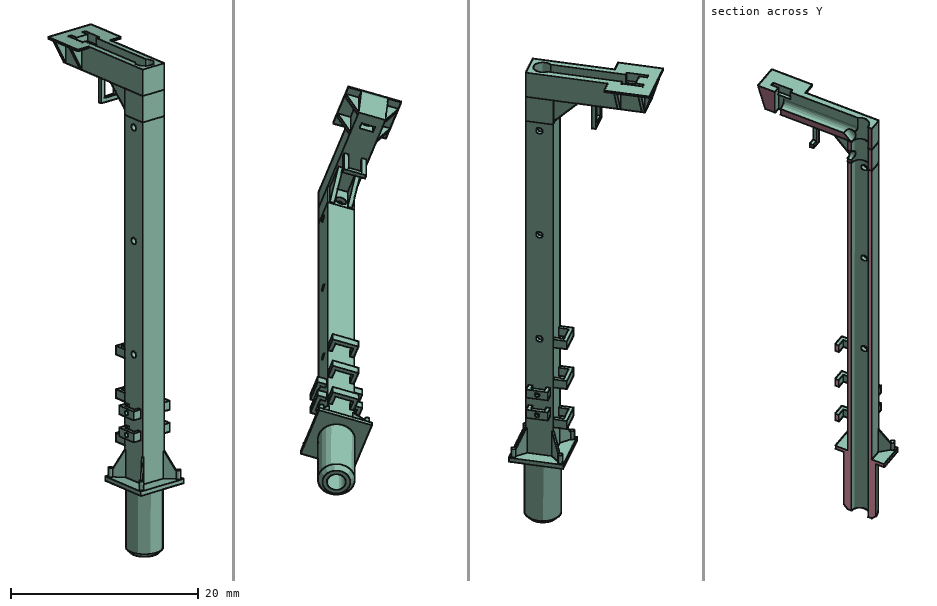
import cadquery as cq
total_height = 56.0
section = 3.0
half_section = section / 2
bore_diameter = 2.0
base_side = 6.0
arm_bottom = total_height - section
mast_top = arm_bottom - section
total_length = 15.5
reach = total_length - base_side / 2

peg_diameter = 4.0
peg_length = 8.0
peg_chamfer = 0.5
base_thickness = 0.5
base_top = peg_length + base_thickness
gusset_height = 3.1
foot_gusset_thickness = 0.2
stud_diameter = 0.5
stud_height = 1.0
stud_offset = 2.6

cross_hole_diameter = 0.7
cross_hole_count = 3
cross_hole_pitch = 13.0
top_cross_hole_depth = 1.0

clip_height = 1.0
clip_wall = 0.45
front_clip_width = 2.9
front_clip_depth = 1.5
front_clip_levels = [12.6, 17.6, 22.55]
side_clip_width = 2.4
side_clip_depth = 1.0
side_clip_levels = [14.0, 16.5]
side_clip_hole_diameter = 0.5

hanger_x = -5.95
hanger_thickness = 0.45
hanger_width = 2.5
hanger_wall = 0.5
hanger_height = section
hanger_window_width = hanger_width - 2 * hanger_wall

brace_length = 2.8
brace_width = hanger_width
brace_gap_width = hanger_window_width
wire_hole_diameter = 1.2
wire_drop_x = -1.1
wire_drop_length = 1.1
brace_hole_drop = 2.0
brace_hole_z = arm_bottom - brace_hole_drop

trough_width = 1.5
trough_floor_thickness = 0.9
trough_floor = arm_bottom + trough_floor_thickness
trough_end = -9.75

plate_length = 5.0
plate_thickness = 0.2
arm_foot_x = -11.65
rib_thickness = 0.35
pocket_length = 2.35
pocket_width = 2.35
pocket_depth = 1.0
pocket_start = arm_foot_x + rib_thickness
rib_starts = [arm_foot_x, pocket_start + pocket_length]
shelf_end = -10.4


def block(x_range, y_range, z_range):
    """Box between the given limits along each axis."""
    return cq.Workplane("XY").box(
        x_range[1] - x_range[0], y_range[1] - y_range[0], z_range[1] - z_range[0], centered=False
    ).translate((x_range[0], y_range[0], z_range[0]))


def centred(width):
    """Limits of a width centred on zero."""
    return (-width / 2, width / 2)


def bore():
    """Vertical bore through the mast, the elbow and the end of the arm."""
    return cq.Workplane("XY").circle(bore_diameter / 2).extrude(total_height)


def trough():
    """Open trough with a rounded floor, from the lamp head to the bore."""
    radius = trough_width / 2
    return (
        cq.Workplane("YZ")
        .moveTo(-radius, total_height)
        .lineTo(-radius, trough_floor + radius)
        .threePointArc((0, trough_floor), (radius, trough_floor + radius))
        .lineTo(radius, total_height)
        .close()
        .extrude(-trough_end)
        .translate((trough_end, 0, 0))
    )


def wire_drop():
    """Wire hole sloping down at 45 degrees from the trough floor into the bore."""
    return (
        cq.Workplane("XY")
        .circle(wire_hole_diameter / 2)
        .extrude(wire_drop_length, both=True)
        .rotate((0, 0, 0), (0, 1, 0), -45)
        .translate((wire_drop_x, 0, trough_floor))
    )


def front_clip(level):
    """Loop on the -X face, open upward and downward."""
    z_range = (level - clip_height / 2, level + clip_height / 2)
    loop = block((-half_section - front_clip_depth, -half_section), centred(front_clip_width), z_range)
    opening = block(
        (-half_section - front_clip_depth + clip_wall, -half_section),
        centred(front_clip_width - 2 * clip_wall),
        z_range,
    )
    return loop.cut(opening)


def side_clip(level):
    """Loop on the -Y face, open upward and downward, with a hole through its outer wall."""
    z_range = (level - clip_height / 2, level + clip_height / 2)
    outer_y = -half_section - side_clip_depth
    loop = block(centred(side_clip_width), (outer_y, -half_section), z_range)
    opening = block(
        centred(side_clip_width - 2 * clip_wall), (outer_y + clip_wall, -half_section), z_range
    )
    hole = (
        cq.Workplane("XZ", origin=(0, outer_y + clip_wall, level))
        .circle(side_clip_hole_diameter / 2)
        .extrude(clip_wall)
    )
    return loop.cut(opening).cut(hole)


def foot_corner():
    """Diagonal gusset and corner stud of the base."""
    stud_distance = stud_offset * 2**0.5
    gusset = (
        cq.Workplane("XZ")
        .moveTo(bore_diameter / 2, base_top)
        .lineTo(stud_distance, base_top)
        .lineTo(stud_distance, base_top + stud_height / 2)
        .lineTo(half_section * 2**0.5, base_top + gusset_height)
        .lineTo(bore_diameter / 2, base_top + gusset_height)
        .close()
        .extrude(foot_gusset_thickness / 2, both=True)
    )
    stud = (
        cq.Workplane("XY", origin=(stud_distance, 0, base_top))
        .circle(stud_diameter / 2)
        .extrude(stud_height)
    )
    return gusset.union(stud)


def make_mast():
    peg = cq.Workplane("XY").circle(peg_diameter / 2).extrude(peg_length)
    peg = peg.faces("<Z").chamfer(peg_chamfer)
    base = block(centred(base_side), centred(base_side), (peg_length, base_top))
    column = block(centred(section), centred(section), (base_top, mast_top))
    mast = peg.union(base).union(column)
    for corner in range(4):
        mast = mast.union(foot_corner().rotate((0, 0, 0), (0, 0, 1), 45 + 90 * corner))
    for level in front_clip_levels:
        mast = mast.union(front_clip(level))
    for level in side_clip_levels:
        clip = side_clip(level)
        mast = mast.union(clip).union(clip.mirror("XZ"))
    for index in range(cross_hole_count):
        hole_z = mast_top - top_cross_hole_depth - index * cross_hole_pitch
        cross_hole = (
            cq.Workplane("XZ", origin=(0, 0, hole_z))
            .circle(cross_hole_diameter / 2)
            .extrude(section, both=True)
        )
        mast = mast.cut(cross_hole)
    return mast.cut(bore())


def make_elbow():
    corner = block(centred(section), centred(section), (mast_top, arm_bottom))
    brace = (
        cq.Workplane("XZ")
        .moveTo(-half_section, arm_bottom)
        .lineTo(-half_section - brace_length, arm_bottom)
        .lineTo(-half_section, arm_bottom - brace_length)
        .close()
        .extrude(brace_width / 2, both=True)
    )
    brace_gap = block(
        (-half_section - brace_length, -half_section),
        centred(brace_gap_width),
        (mast_top, arm_bottom),
    )
    brace_hole = (
        cq.Workplane("YZ", origin=(0, 0, brace_hole_z))
        .circle(wire_hole_diameter / 2)
        .extrude(-half_section - brace_length)
    )
    elbow = corner.union(brace.cut(brace_gap))
    return elbow.cut(brace_hole).cut(wire_drop()).cut(bore())


def head_rib(start_x):
    """Trapezoidal rib under the head plate, widening from the arm to the plate edges."""
    return (
        cq.Workplane("YZ", origin=(start_x, 0, 0))
        .polyline([
            (-half_section, arm_bottom),
            (half_section, arm_bottom),
            (base_side / 2, total_height - plate_thickness),
            (-base_side / 2, total_height - plate_thickness),
        ])
        .close()
        .extrude(rib_thickness)
    )


def hanger():
    """Rectangular loop below the arm, open along X."""
    bottom_z = arm_bottom - hanger_height
    x_range = (hanger_x - hanger_thickness / 2, hanger_x + hanger_thickness / 2)
    frame = block(x_range, centred(hanger_width), (bottom_z, arm_bottom))
    window = block(x_range, centred(hanger_window_width), (bottom_z + hanger_wall, arm_bottom))
    return frame.cut(window)


def make_arm():
    beam = (
        cq.Workplane("XZ")
        .polyline([
            (half_section, arm_bottom),
            (arm_foot_x, arm_bottom),
            (-reach, total_height - plate_thickness),
            (-reach, total_height),
            (half_section, total_height),
        ])
        .close()
        .extrude(half_section, both=True)
    )
    plate = block(
        (-reach, -reach + plate_length),
        centred(base_side),
        (total_height - plate_thickness, total_height),
    )
    arm = beam.union(plate).union(hanger())
    for start_x in rib_starts:
        arm = arm.union(head_rib(start_x))

    pocket_range = (pocket_start, pocket_start + pocket_length)
    pocket_levels = (total_height - pocket_depth, total_height)
    pocket = block(pocket_range, centred(pocket_width), pocket_levels)
    shelf = block((pocket_start, shelf_end), centred(trough_width), pocket_levels)
    slot = block((shelf_end, trough_end), centred(trough_width), (arm_bottom, total_height))
    arm = arm.cut(pocket.cut(shelf)).cut(slot)
    return arm.cut(trough()).cut(wire_drop()).cut(bore())


mast = make_mast()
elbow = make_elbow()
arm = make_arm()

result = cq.Compound.makeCompound([mast.solids().val(), elbow.solids().val(), arm.solids().val()])